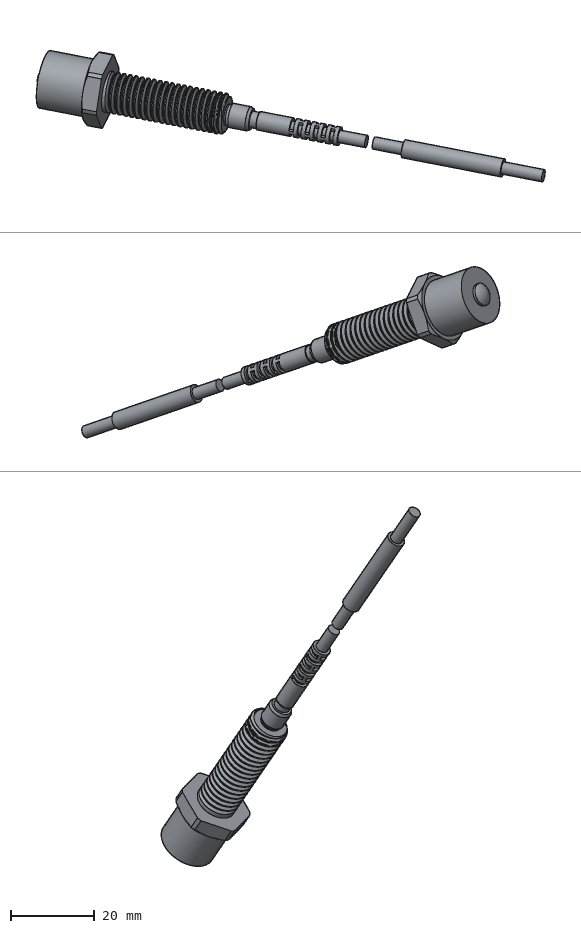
import cadquery as cq
import math

TOTAL_LENGTH = 126.4

BUTTON_DIAMETER = 5.5
BUTTON_STICKOUT = 1.8
BUTTON_DOME_HEIGHT = 1.1

HOUSING_DIAMETER = 14.0
HOUSING_LENGTH = 11.6
HEX_ACROSS_FLATS = 16.0
HEX_CORNER_DIAMETER = 18.0
HEX_THICKNESS = 4.0
HEX_CHAMFER_HEIGHT = 0.5
HEX_TURN = 90

SHANK_DIAMETER = 10.0
SHANK_LENGTH = 29.8
SHANK_CHAMFER = 0.6
THREAD_LENGTH = 30.1
THREAD_TURNS = 20
THREAD_PITCH = THREAD_LENGTH / THREAD_TURNS
THREAD_DEPTH = 0.8
THREAD_MOUTH = 1.2
THREAD_ROOT = 0.3
THREAD_START_GAP = 0.8
GROOVE_OVERCUT = 0.1

BUSHING_DIAMETER = 6.0
BUSHING_LENGTH = 6.2
BUSHING_NECK_LENGTH = 0.4
BUSHING_CHAMFER_LENGTH = 0.8
BUSHING_CHAMFER_HEIGHT = 0.4

RELIEF_DIAMETER = 4.5
RELIEF_COLLAR_DIAMETER = 4.0
RELIEF_COLLAR_LENGTH = 1.8
RELIEF_LENGTH = 22.0
SLOT_COUNT = 6
SLOT_WIDTH = 1.0
SLOT_PITCH = 2 * SLOT_WIDTH
SLOT_BRIDGE = 0.9

CABLE_DIAMETER = 3.0
CABLE_STUB_LENGTH = 6.7
CABLE_BREAK = 1.9
SLEEVE_DIAMETER = 4.4
SLEEVE_START = 91.5
SLEEVE_LENGTH = 24.8

housing_front = BUTTON_STICKOUT
hex_front = housing_front + HOUSING_LENGTH
hex_back = hex_front + HEX_THICKNESS
shank_end = hex_back + SHANK_LENGTH
bushing_end = shank_end + BUSHING_LENGTH
relief_end = bushing_end + RELIEF_LENGTH
cable_stub_end = relief_end + CABLE_STUB_LENGTH
cable_piece_start = cable_stub_end + CABLE_BREAK


def cylinder(diameter, start, end):
    """Solid cylinder on the X axis between two stations."""
    return cq.Workplane("YZ", origin=(start, 0, 0)).circle(diameter / 2).extrude(end - start)


def revolve(outline):
    """Turn a closed outline drawn in the XY plane about the X axis."""
    return outline.close().revolve(360, (0, 0, 0), (1, 0, 0))


def make_button():
    """Short cylinder with a shallow spherical cap at the tip."""
    radius = BUTTON_DIAMETER / 2
    sphere_radius = (radius**2 + BUTTON_DOME_HEIGHT**2) / (2 * BUTTON_DOME_HEIGHT)
    half_angle = math.asin(radius / sphere_radius) / 2
    middle = (sphere_radius * (1 - math.cos(half_angle)), sphere_radius * math.sin(half_angle))
    return revolve(
        cq.Workplane("XY")
        .moveTo(0, 0)
        .threePointArc(middle, (BUTTON_DOME_HEIGHT, radius))
        .lineTo(housing_front, radius)
        .lineTo(housing_front, 0)
    )


def make_housing():
    """Large plain cylinder that the button sticks out of."""
    return cylinder(HOUSING_DIAMETER, housing_front, hex_front)


def make_hex_flange():
    """Hexagon with corners turned down and a conical chamfer on its front face."""
    hexagon = (
        cq.Workplane("YZ", origin=(hex_front, 0, 0))
        .polygon(6, HEX_ACROSS_FLATS, circumscribed=True)
        .extrude(HEX_THICKNESS)
        .rotate((0, 0, 0), (1, 0, 0), HEX_TURN)
    )
    front_radius = HEX_ACROSS_FLATS / 2
    corner_radius = HEX_CORNER_DIAMETER / 2
    turned_envelope = revolve(
        cq.Workplane("XY")
        .moveTo(hex_front, 0)
        .lineTo(hex_front, front_radius)
        .lineTo(hex_front + HEX_CHAMFER_HEIGHT, corner_radius)
        .lineTo(hex_back, corner_radius)
        .lineTo(hex_back, 0)
    )
    return hexagon.intersect(turned_envelope)


def make_thread_groove():
    """Right-handed trapezoidal groove that starts on the +Y side and runs out past the shank end."""
    start = hex_back + THREAD_START_GAP
    crest_radius = SHANK_DIAMETER / 2
    half_mouth = THREAD_MOUTH / 2
    half_root = THREAD_ROOT / 2
    outer_half = half_mouth + GROOVE_OVERCUT * (half_mouth - half_root) / THREAD_DEPTH
    helix = cq.Wire.makeHelix(THREAD_PITCH, THREAD_LENGTH, crest_radius)
    groove = (
        cq.Workplane("XZ")
        .moveTo(crest_radius + GROOVE_OVERCUT, -outer_half)
        .lineTo(crest_radius - THREAD_DEPTH, -half_root)
        .lineTo(crest_radius - THREAD_DEPTH, half_root)
        .lineTo(crest_radius + GROOVE_OVERCUT, outer_half)
        .close()
        .sweep(cq.Workplane(helix), isFrenet=True)
    )
    return (
        groove.rotate((0, 0, 0), (0, 0, 1), 90)
        .rotate((0, 0, 0), (0, 1, 0), 90)
        .translate((start, 0, 0))
    )


def make_shank():
    """Threaded cylinder with a chamfered free end."""
    blank = cylinder(SHANK_DIAMETER, hex_back, shank_end)
    chamfered_envelope = blank.faces(">X").chamfer(SHANK_CHAMFER)
    return blank.cut(make_thread_groove()).intersect(chamfered_envelope)


def make_bushing():
    """Cylinder with a slim chamfer at both ends, joined to the shank by a short neck."""
    radius = BUSHING_DIAMETER / 2
    end_radius = radius - BUSHING_CHAMFER_HEIGHT
    neck_end = shank_end + BUSHING_NECK_LENGTH
    return revolve(
        cq.Workplane("XY")
        .moveTo(shank_end, 0)
        .lineTo(shank_end, end_radius)
        .lineTo(neck_end, end_radius)
        .lineTo(neck_end + BUSHING_CHAMFER_LENGTH, radius)
        .lineTo(bushing_end - BUSHING_CHAMFER_LENGTH, radius)
        .lineTo(bushing_end, end_radius)
        .lineTo(bushing_end, 0)
    )


def make_strain_relief():
    """Sleeve whose slots leave two opposite bridges, turned by 90 degrees from slot to slot."""
    collar_end = bushing_end + RELIEF_COLLAR_LENGTH
    relief = cylinder(RELIEF_DIAMETER, collar_end, relief_end)
    first_slot = relief_end - SLOT_COUNT * SLOT_PITCH
    for index in range(SLOT_COUNT):
        start = first_slot + index * SLOT_PITCH
        slot = cylinder(RELIEF_DIAMETER, start, start + SLOT_WIDTH)
        bridge = cq.Workplane("XY").box(SLOT_WIDTH, RELIEF_DIAMETER, SLOT_BRIDGE)
        bridge = bridge.translate((start + SLOT_WIDTH / 2, 0, 0))
        if index % 2:
            bridge = bridge.rotate((0, 0, 0), (1, 0, 0), 90)
        relief = relief.cut(slot.cut(bridge))
    return relief.union(cylinder(RELIEF_COLLAR_DIAMETER, bushing_end, collar_end))


def make_plunger_switch():
    """Button, housing, shank and cable stub as one body."""
    switch = cylinder(CABLE_DIAMETER, bushing_end, cable_stub_end)
    switch = switch.union(make_strain_relief())
    for section in (make_bushing(), make_shank(), make_hex_flange(), make_housing(), make_button()):
        switch = switch.union(section)
    return switch


def make_cable_piece():
    """Loose end of the cable with a thicker sleeve around it."""
    cable = cylinder(CABLE_DIAMETER, cable_piece_start, TOTAL_LENGTH)
    return cable.union(cylinder(SLEEVE_DIAMETER, SLEEVE_START, SLEEVE_START + SLEEVE_LENGTH))


plunger_switch = make_plunger_switch()
cable_piece = make_cable_piece()
result = cq.Compound.makeCompound([plunger_switch.val(), cable_piece.val()])